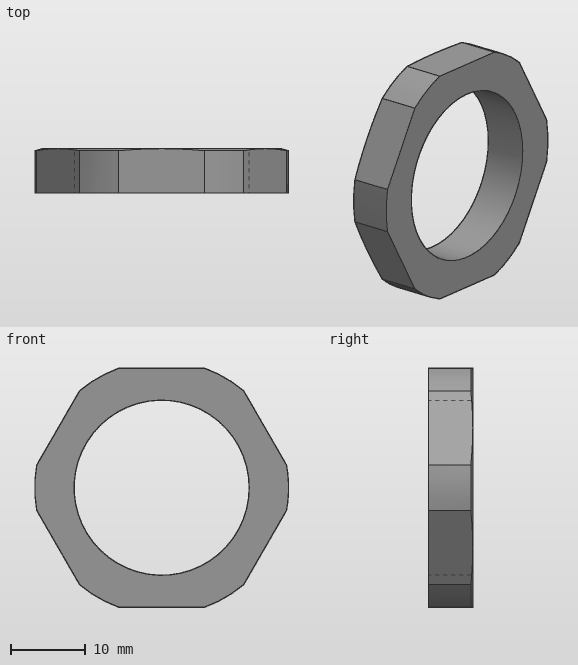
import cadquery as cq
import math

side_count = 6
across_flats = 32.0
outer_diameter = 34.0
bore_diameter = 23.4
thickness = 6.0
chamfer_radial = 1.2
chamfer_angle = 15.0

chamfer_axial = chamfer_radial * math.tan(math.radians(chamfer_angle))
across_corners = across_flats / math.cos(math.pi / side_count)


def make_hexagon():
    """Hexagonal prism along +Y with flats facing +Z and -Z."""
    hexagon = cq.Workplane("XY").polygon(side_count, across_corners).extrude(thickness)
    return hexagon.rotate((0, 0, 0), (1, 0, 0), -90)


def make_trimming_disc():
    """Disc of revolution about Y, with a shallow cone on its +Y rim."""
    outer_radius = outer_diameter / 2
    profile = (
        cq.Workplane("XY")
        .lineTo(outer_radius, 0)
        .lineTo(outer_radius, thickness - chamfer_axial)
        .lineTo(outer_radius - chamfer_radial, thickness)
        .lineTo(0, thickness)
        .close()
    )
    return profile.revolve(360, (0, 0, 0), (0, 1, 0))


def make_bore():
    """Cylinder along +Y that opens the ring."""
    bore = cq.Workplane("XY").circle(bore_diameter / 2).extrude(thickness)
    return bore.rotate((0, 0, 0), (1, 0, 0), -90)


result = make_hexagon().intersect(make_trimming_disc()).cut(make_bore())